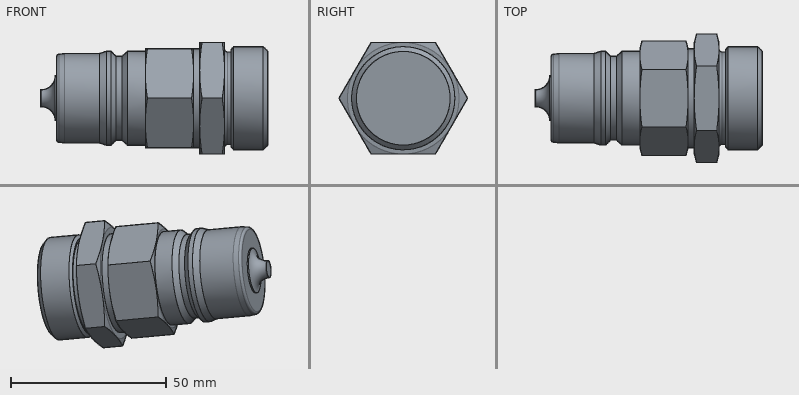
import cadquery as cq
import math


LENGTH = 73.3
NOSE_RIM = 0.3
FLARE_END = 4.7
BODY_FACE = 5.1
LEAD_IN_END = 7.8
SEAL_LAND_END = 19.0
RIDGE_START = 21.2
RIDGE_END = 22.7
GROOVE_START = 24.3
GROOVE_END = 26.25
SHOULDER_START = 28.1
HEX_START = 33.8
HEX_END = 49.3
NUT_START = 51.3
NUT_END = 59.3
RELIEF_END = 61.35
THREAD_START = 62.2

NOSE_RADIUS = 2.8
FLARE_RADIUS = 7.25
LEAD_IN_RADIUS = 14.2
BODY_RADIUS = 14.45
RIDGE_RADIUS = 15.2
GROOVE_RADIUS = 13.55
RELIEF_RADIUS = 14.95
THREAD_FACE_RADIUS = 15.6
THREAD_RADIUS = 16.65

FACE_ROUND = 0.9
RELIEF_FILLET = 1.0
THREAD_END_CHAMFER = 1.55
HEX_ACROSS_FLATS = 32.0
NUT_ACROSS_FLATS = 36.0
HEX_CHAMFER_ANGLE = 15.0


def turned_body():
    """Revolve the full stepped outline, running from the nose to the thread end."""
    collar_radius = HEX_ACROSS_FLATS / 2
    diagonal = math.sqrt(0.5)
    flare_mid = (
        NOSE_RIM + (FLARE_END - NOSE_RIM) * diagonal,
        FLARE_RADIUS - (FLARE_RADIUS - NOSE_RADIUS) * diagonal,
    )
    round_mid = (
        BODY_FACE + FACE_ROUND * (1 - diagonal),
        LEAD_IN_RADIUS - FACE_ROUND * (1 - diagonal),
    )
    relief_mid = (
        NUT_END + RELIEF_FILLET * (1 - diagonal),
        RELIEF_RADIUS + RELIEF_FILLET * (1 - diagonal),
    )
    outline = (
        cq.Workplane("XY")
        .moveTo(0, 0)
        .lineTo(0, NOSE_RADIUS)
        .lineTo(NOSE_RIM, NOSE_RADIUS)
        .threePointArc(flare_mid, (FLARE_END, FLARE_RADIUS))
        .lineTo(BODY_FACE, FLARE_RADIUS)
        .lineTo(BODY_FACE, LEAD_IN_RADIUS - FACE_ROUND)
        .threePointArc(round_mid, (BODY_FACE + FACE_ROUND, LEAD_IN_RADIUS))
        .lineTo(LEAD_IN_END, BODY_RADIUS)
        .lineTo(SEAL_LAND_END, BODY_RADIUS)
        .lineTo(RIDGE_START, RIDGE_RADIUS)
        .lineTo(RIDGE_END, RIDGE_RADIUS)
        .lineTo(GROOVE_START, GROOVE_RADIUS)
        .lineTo(GROOVE_END, GROOVE_RADIUS)
        .lineTo(SHOULDER_START, RIDGE_RADIUS)
        .lineTo(HEX_START, RIDGE_RADIUS)
        .lineTo(HEX_START, collar_radius)
        .lineTo(NUT_END, collar_radius)
        .lineTo(NUT_END, RELIEF_RADIUS + RELIEF_FILLET)
        .threePointArc(relief_mid, (NUT_END + RELIEF_FILLET, RELIEF_RADIUS))
        .lineTo(RELIEF_END, RELIEF_RADIUS)
        .lineTo(RELIEF_END, THREAD_FACE_RADIUS)
        .lineTo(THREAD_START, THREAD_RADIUS)
        .lineTo(LENGTH - THREAD_END_CHAMFER, THREAD_RADIUS)
        .lineTo(LENGTH, THREAD_RADIUS - THREAD_END_CHAMFER)
        .lineTo(LENGTH, 0)
        .close()
    )
    return outline.revolve(360, (0, 0, 0), (1, 0, 0))


def chamfered_hexagon(start, end, across_flats):
    """Hexagon along X, corners on +Y and -Y, trimmed by a cone at each end."""
    corner_diameter = across_flats / math.cos(math.radians(30))
    flat_radius = across_flats / 2
    corner_radius = corner_diameter / 2
    cone_length = (corner_radius - flat_radius) * math.tan(math.radians(HEX_CHAMFER_ANGLE))
    hexagon = (
        cq.Workplane("YZ", origin=(start, 0, 0))
        .polygon(6, corner_diameter)
        .extrude(end - start)
    )
    cones = (
        cq.Workplane("XY")
        .moveTo(start, 0)
        .lineTo(start, flat_radius)
        .lineTo(start + cone_length, corner_radius)
        .lineTo(end - cone_length, corner_radius)
        .lineTo(end, flat_radius)
        .lineTo(end, 0)
        .close()
        .revolve(360, (0, 0, 0), (1, 0, 0))
    )
    return hexagon.intersect(cones)


body_hexagon = chamfered_hexagon(HEX_START, HEX_END, HEX_ACROSS_FLATS)
nut_hexagon = chamfered_hexagon(NUT_START, NUT_END, NUT_ACROSS_FLATS)
result = turned_body().union(body_hexagon).union(nut_hexagon)